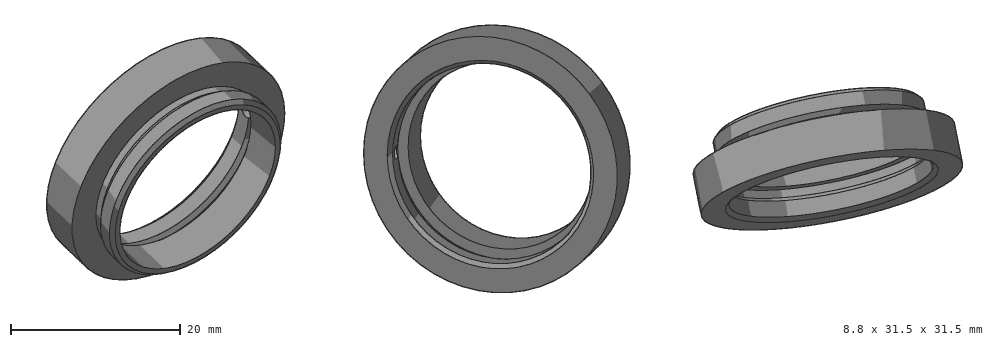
import cadquery as cq


total_length = 8.8
flange_radius = 31.5 / 2
flange_length = 5.0
neck_radius = 24.4 / 2
neck_length = 0.95
spigot_radius = 25.4 / 2
spigot_rear_taper = 0.6
spigot_chamfer = spigot_radius - neck_radius

bore_radius = 23 / 2
socket_radius = 24.6 / 2
socket_mouth_radius = 25.6 / 2
socket_chamfer = socket_mouth_radius - socket_radius
relief_radius = socket_mouth_radius
relief_start = 2.5
relief_taper = relief_radius - socket_radius
socket_depth = 4.0

screw_hole_diameter = 1.6
screw_hole_x = 1.95
screw_hole_z = -0.15


def revolve_about_x(points):
    """Turn a closed (x, radius) outline into a solid of revolution about X."""
    return cq.Workplane("XY").polyline(points).close().revolve(360, (0, 0, 0), (1, 0, 0))


def make_outer_body():
    neck_end = flange_length + neck_length
    return revolve_about_x([
        (0, 0),
        (0, flange_radius),
        (flange_length, flange_radius),
        (flange_length, neck_radius),
        (neck_end, neck_radius),
        (neck_end + spigot_rear_taper, spigot_radius),
        (total_length - spigot_chamfer, spigot_radius),
        (total_length, neck_radius),
        (total_length, 0),
    ])


def make_cavity():
    return revolve_about_x([
        (0, 0),
        (0, socket_mouth_radius),
        (socket_chamfer, socket_radius),
        (relief_start, socket_radius),
        (relief_start + relief_taper, relief_radius),
        (socket_depth, relief_radius),
        (socket_depth, bore_radius),
        (total_length, bore_radius),
        (total_length, 0),
    ])


def make_screw_hole():
    return (
        cq.Workplane("XZ")
        .center(screw_hole_x, screw_hole_z)
        .circle(screw_hole_diameter / 2)
        .extrude(-flange_radius)
    )


result = make_outer_body().cut(make_cavity()).cut(make_screw_hole())